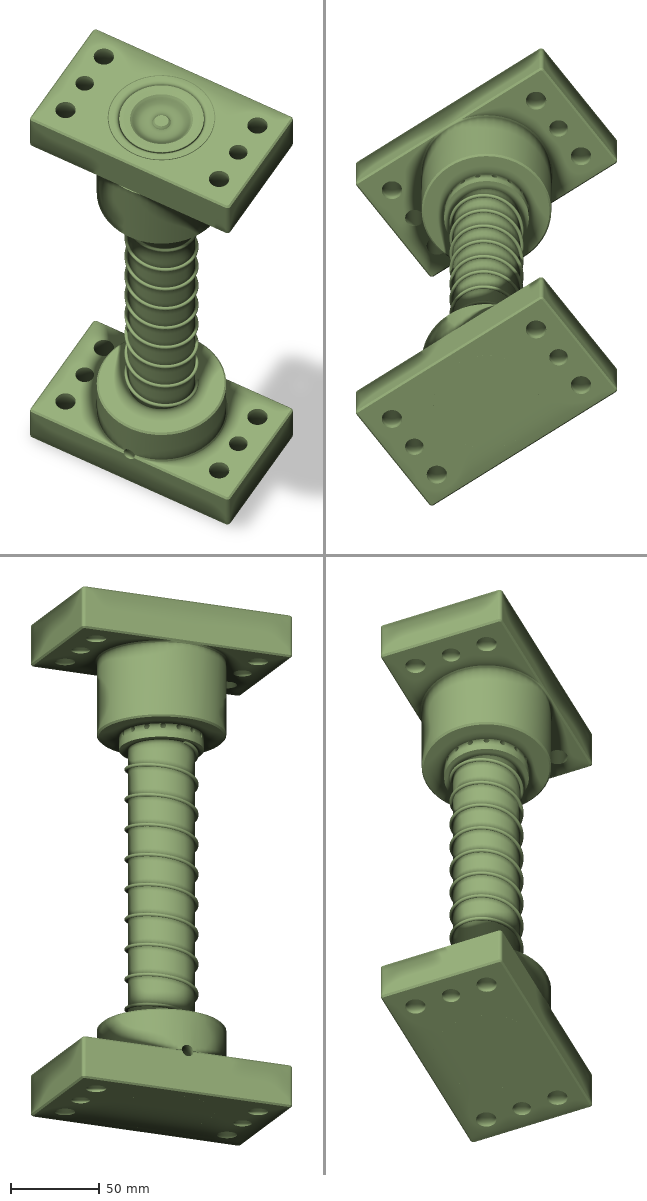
import cadquery as cq
import math

total_height = 294.45
plate_thickness = 25.0
upper_plate_bottom = total_height - plate_thickness
bush_length = 70.0
bush_bottom = total_height - bush_length
cage_projection = 8.0
cage_bottom = bush_bottom - cage_projection
holder_top = 49.5

plate_length = 130.0
plate_width = 75.0
plate_turn = 2.5
plate_corner_radius = 2.0
plate_edge_chamfer = 1.0
plate_hole_spacing_x = 100.0
plate_hole_spacing_y = 22.0
corner_hole_diameter = 11.5
middle_hole_diameter = 10.5
spigot_radius = 30.0
seat_chamfer = 0.5

flange_radius = 36.7
flange_chamfer = 1.0
collar_size = 0.8
bush_mouth_radius = 3.0

pillar_radius = 19.0
cage_radius = 24.0
pillar_top_depth = 20.0
pillar_top = total_height - pillar_top_depth
dimple_count = 16
dimple_first_angle = -86.4
dimple_radius = 1.6
dimple_drop = 1.4
wire_radius = 1.0
spring_pitch = 17.95
spring_end_angle = 37.0

side_hole_diameter = 7.0
side_hole_seam_angle = 45.0

cap_underside_depth = 8.0
cap_rim_depth = 0.9
cap_rim_inner_radius = 21.6
cap_slope_inner_radius = 17.8
cap_slope_drop = 0.36
cap_cone_inner_radius = 16.4
cap_cone_angle = 46.0
cap_floor_radius = 12.9
nub_base_radius = 5.2
nub_top_radius = 4.0
nub_height = 1.5


def plate(bottom):
    """Drilled plate with broken edges and a central seat for a spigot."""
    body = (
        cq.Workplane("XY")
        .box(plate_length, plate_width, plate_thickness, centered=(True, True, False))
        .edges("|Z").fillet(plate_corner_radius)
        .faces("<Z or >Z").edges().chamfer(plate_edge_chamfer)
    )
    x = plate_hole_spacing_x / 2
    y = plate_hole_spacing_y
    corners = [(-x, -y), (-x, y), (x, -y), (x, y)]
    body = body.faces(">Z").workplane().pushPoints(corners).hole(corner_hole_diameter)
    body = body.faces(">Z").workplane().pushPoints([(-x, 0), (x, 0)]).hole(middle_hole_diameter)
    body = body.faces(">Z").workplane().hole(2 * spigot_radius)
    return body.rotate((0, 0, 0), (0, 0, 1), plate_turn).translate((0, 0, bottom))


def revolve(profile):
    """Turn a closed radius-height profile about the guide axis."""
    return profile.close().revolve(360, (0, 0, 0), (0, 1, 0))


def side_hole_cutter():
    """Horizontal drill, square to the long side of the lower plate, ending inside the pillar."""
    cutter = (
        cq.Workplane("XZ", origin=(0, 0, plate_thickness))
        .transformed(rotate=(0, 0, side_hole_seam_angle))
        .circle(side_hole_diameter / 2)
        .extrude(plate_width)
    )
    return cutter.rotate((0, 0, 0), (0, 0, 1), plate_turn)


countersink = cq.Workplane(
    cq.Solid.makeCone(
        spigot_radius,
        spigot_radius + seat_chamfer,
        seat_chamfer,
        pnt=cq.Vector(0, 0, total_height - seat_chamfer),
    )
)
upper_plate = plate(upper_plate_bottom).cut(countersink)
lower_plate = plate(0).cut(side_hole_cutter())

bush = revolve(
    cq.Workplane("XZ")
    .moveTo(cage_radius, bush_bottom)
    .lineTo(flange_radius - flange_chamfer, bush_bottom)
    .lineTo(flange_radius, bush_bottom + flange_chamfer)
    .lineTo(flange_radius, upper_plate_bottom - collar_size)
    .lineTo(flange_radius + collar_size, upper_plate_bottom)
    .lineTo(spigot_radius, upper_plate_bottom)
    .lineTo(spigot_radius, total_height)
    .lineTo(cage_radius + bush_mouth_radius, total_height)
    .radiusArc((cage_radius, total_height - bush_mouth_radius), -bush_mouth_radius)
)

holder = revolve(
    cq.Workplane("XZ")
    .moveTo(pillar_radius, 0)
    .lineTo(spigot_radius, 0)
    .lineTo(spigot_radius, plate_thickness)
    .lineTo(flange_radius + collar_size, plate_thickness)
    .lineTo(flange_radius, plate_thickness + collar_size)
    .lineTo(flange_radius, holder_top - flange_chamfer)
    .lineTo(flange_radius - flange_chamfer, holder_top)
    .lineTo(pillar_radius, holder_top)
).cut(side_hole_cutter())

pillar = cq.Workplane("XY").circle(pillar_radius).extrude(pillar_top)

cage = (
    cq.Workplane("XY", origin=(0, 0, cage_bottom))
    .circle(cage_radius)
    .circle(pillar_radius)
    .extrude(pillar_top - cage_bottom)
)
dimple = cq.Workplane("XY").sphere(dimple_radius).translate((cage_radius, 0, bush_bottom - dimple_drop))
for index in range(dimple_count):
    angle = dimple_first_angle + index * 360 / dimple_count
    cage = cage.cut(dimple.rotate((0, 0, 0), (0, 0, 1), angle), clean=False)

coil_radius = pillar_radius + wire_radius
spring_height = cage_bottom - holder_top
coil = cq.Wire.makeHelix(spring_pitch, spring_height, coil_radius, lefthand=True)
grinding_slab = cq.Workplane("XY").circle(coil_radius + 2 * wire_radius).extrude(spring_height)
spring = (
    cq.Workplane("XZ", origin=(coil_radius, 0, 0))
    .circle(wire_radius)
    .sweep(cq.Workplane(coil), isFrenet=True)
    .intersect(grinding_slab)
    .rotate((0, 0, 0), (0, 0, 1), spring_end_angle)
    .translate((0, 0, holder_top))
)

rim_z = total_height - cap_rim_depth
slope_z = rim_z - cap_slope_drop
cone_slope = math.radians(cap_cone_angle)
cone_z = slope_z - (cap_slope_inner_radius - cap_cone_inner_radius) * math.tan(cone_slope)
dish_radius = (cap_cone_inner_radius - cap_floor_radius) / math.sin(cone_slope)
floor_z = cone_z - dish_radius * (1 - math.cos(cone_slope))
cap_bottom = total_height - cap_underside_depth
cap = revolve(
    cq.Workplane("XZ")
    .moveTo(0, cap_bottom)
    .lineTo(cage_radius, cap_bottom)
    .lineTo(cage_radius, rim_z)
    .lineTo(cap_rim_inner_radius, rim_z)
    .lineTo(cap_slope_inner_radius, slope_z)
    .lineTo(cap_cone_inner_radius, cone_z)
    .radiusArc((cap_floor_radius, floor_z), dish_radius)
    .lineTo(nub_base_radius, floor_z)
    .lineTo(nub_top_radius, floor_z + nub_height)
    .lineTo(0, floor_z + nub_height)
)

bodies = [upper_plate, lower_plate, bush, holder, pillar, cage, spring, cap]
result = cq.Compound.makeCompound([body.solids().val() for body in bodies])